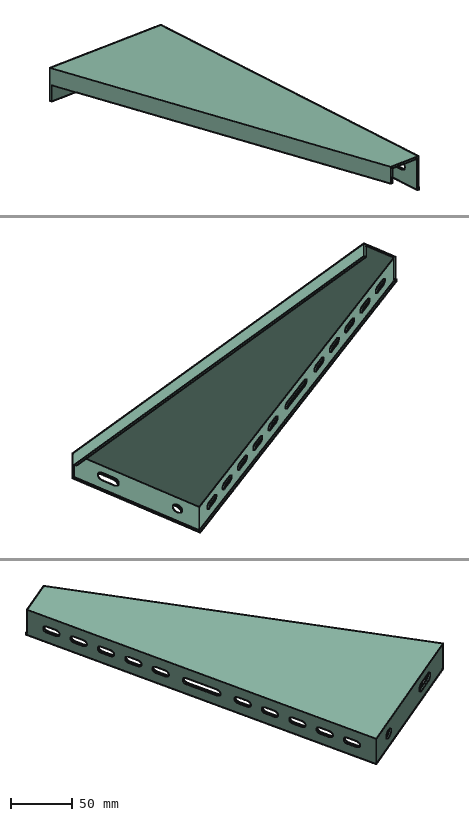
import cadquery as cq
import math

overall_length = 320
nub_length = 1.0
arm_length = overall_length - nub_length
root_width = 120.0
tip_width = 30.0
height = 30.0
thickness = 2.0
front_flange_height = 15.5

wall_opening_height = 9.0
wall_hole_distance = 22.5
wall_slot_distance = 87.5
wall_slot_length = 20.0

slot_height = 7.0
short_slot_length = 15.0
long_slot_length = 34.5
slot_pitch = 25.0
first_slot_offset = 1.5 * slot_pitch
slots_per_side = 5

mid_height = height / 2
slope_angle = math.atan2(root_width - tip_width, arm_length)
sloped_thickness = thickness / math.cos(slope_angle)


def tapered_block(front_inset, bottom, top):
    """Full-length tapered prism with its sloping front moved inward along y."""
    outline = [
        (0, 0),
        (0, front_inset - root_width),
        (arm_length, front_inset - tip_width),
        (arm_length, 0),
    ]
    return cq.Workplane("XY").workplane(offset=bottom).polyline(outline).close().extrude(top - bottom)


def box(length, width, box_height):
    """Box growing from the back bottom corner of the wall plate."""
    return cq.Workplane("XY").box(length, width, box_height, centered=False).translate((0, -width, 0))


def back_slot(center_x, length):
    """Cutter for one horizontal slot through the back flange."""
    return (
        cq.Workplane("XZ")
        .center(center_x, mid_height)
        .slot2D(length, slot_height)
        .extrude(thickness)
    )


top_plate = tapered_block(0, height - thickness, height)
flange_bottom = height - front_flange_height
front_flange = tapered_block(0, flange_bottom, height).cut(
    tapered_block(sloped_thickness, flange_bottom, height)
)
back_flange = box(arm_length, thickness, height)
wall_plate = tapered_block(0, 0, height).intersect(box(thickness, root_width, height))
bracket = top_plate.union(front_flange).union(back_flange).union(wall_plate)

nub = box(nub_length, thickness, thickness).translate((arm_length, 0, 0))
bracket = bracket.union(nub)

wall_hole = (
    cq.Workplane("YZ")
    .center(-wall_hole_distance, mid_height)
    .circle(wall_opening_height / 2)
    .extrude(thickness)
)
wall_slot = (
    cq.Workplane("YZ")
    .center(-wall_slot_distance, mid_height)
    .slot2D(wall_slot_length, wall_opening_height)
    .extrude(thickness)
)
bracket = bracket.cut(wall_hole).cut(wall_slot)

middle = arm_length / 2
bracket = bracket.cut(back_slot(middle, long_slot_length))
for index in range(slots_per_side):
    offset = first_slot_offset + index * slot_pitch
    for side in (-1, 1):
        bracket = bracket.cut(back_slot(middle + side * offset, short_slot_length))

result = bracket